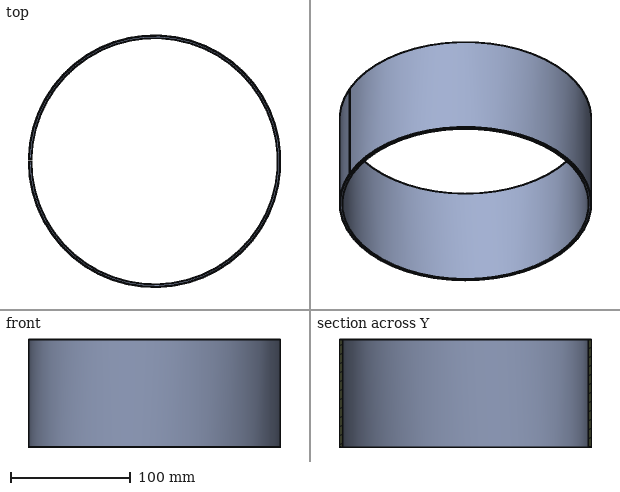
import cadquery as cq

outer_diameter = 210.0
wall_thickness = 2.5
height = 90.0
outer_chamfer = 0.5
inner_chamfer = 0.2
slit_angle = 1.0

outer_radius = outer_diameter / 2
inner_radius = outer_radius - wall_thickness


def make_wall_section():
    """Wall cross-section on the -X side, with all four corners chamfered."""
    return (
        cq.Workplane("XZ")
        .moveTo(-inner_radius - inner_chamfer, 0)
        .lineTo(-outer_radius + outer_chamfer, 0)
        .lineTo(-outer_radius, outer_chamfer)
        .lineTo(-outer_radius, height - outer_chamfer)
        .lineTo(-outer_radius + outer_chamfer, height)
        .lineTo(-inner_radius - inner_chamfer, height)
        .lineTo(-inner_radius, height - inner_chamfer)
        .lineTo(-inner_radius, inner_chamfer)
        .close()
    )


def make_split_band():
    """Wall section swept around Z, stopping short of a full turn to leave the slit."""
    axis_start = (0, 0, 0)
    axis_end = (0, 1, 0)
    return make_wall_section().revolve(360 - slit_angle, axis_start, axis_end)


result = make_split_band()